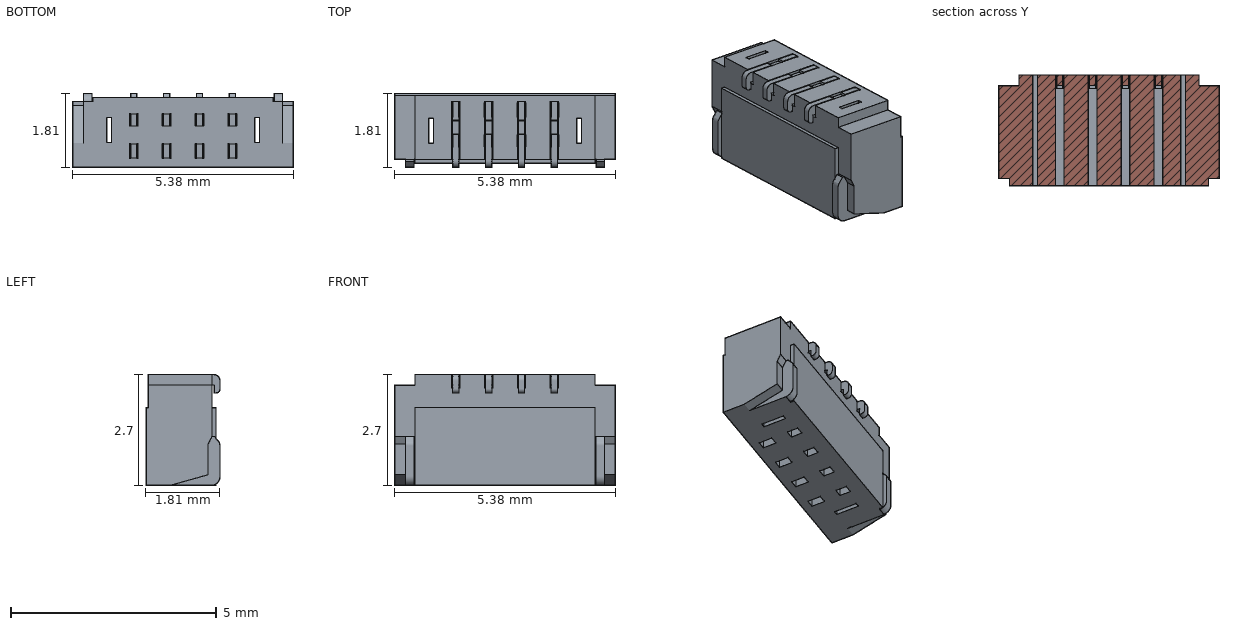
import cadquery as cq


length = 5.38
height = 2.7
body_depth = 1.56
shoulder_width = 0.495
shoulder_drop = 0.26
raised_height = 1.895
panel_thickness = 0.095
lip_thickness = 0.05
panel_length = length - 2 * shoulder_width

contact_count = 4
contact_pitch = 0.8
contact_width = 0.155
contact_reach = 0.195
contact_gap = 0.05
contact_drop = 0.45
contact_leg = 0.26
contact_bend_radius = 0.15
contact_tip_radius = 0.095
slot_width = 0.205
mouth_depth = 0.33
slot_end = 1.415
contact_end = 1.41
front_window = (0.305, 0.595)
rear_window = (1.035, 1.38)
dip_range = (0.61, 0.96)
dip_ramp = 0.015
dip_depth = 0.05

end_window_x = 1.8
end_window_width = 0.11
end_window_range = (0.4, 1.0)

relief_width = 0.265
relief_depth = 0.095
relief_top = 1.195
relief_wall_top = 1.005
relief_wall_bottom = 0.26
relief_run = 1.015
tab_width = 0.21
tab_reach = contact_reach
tab_top_reach = 0.055
tab_shoulder_reach = 0.17
tab_shoulder_height = 1.055
tab_straight_top = 0.94
tab_corner_radius = 0.21


def block(x_range, y_range, z_range):
    """Box between the given limits along each axis."""
    (x0, x1), (y0, y1), (z0, z1) = x_range, y_range, z_range
    return cq.Workplane("XY").box(x1 - x0, y1 - y0, z1 - z0, centered=False).translate((x0, y0, z0))


def centred(x, width):
    """X range of the given width around x."""
    return (x - width / 2, x + width / 2)


def side_profile(x):
    """Sketch plane across the part at x, with local axes Y and Z."""
    return cq.Workplane("YZ", origin=(x, 0, 0))


def make_housing():
    shoulder_height = height - shoulder_drop
    full_length = centred(0, length)
    raised_length = centred(0, panel_length)
    housing = block(full_length, (0, body_depth), (0, shoulder_height))
    housing = housing.union(block(raised_length, (0, body_depth), (0, height)))
    housing = housing.union(block(full_length, (0, body_depth + lip_thickness), (0, raised_height)))
    return housing.union(block(raised_length, (-panel_thickness, body_depth), (0, raised_height)))


def make_end_window(x):
    return block(centred(x, end_window_width), end_window_range, (0, height))


def make_slot(x):
    width = centred(x, slot_width)
    mouth_end = front_window[0]
    slot = block(width, (0, slot_end), (height - contact_leg, height))
    slot = slot.union(block(width, (0, mouth_end), (height - mouth_depth, height)))
    for window in (front_window, rear_window):
        slot = slot.union(block(width, window, (0, height)))
    return slot


def make_dip(x):
    front, rear = dip_range
    floor_z = height - dip_depth
    outline = [
        (front, height),
        (front + dip_ramp, floor_z),
        (rear - dip_ramp, floor_z),
        (rear, height),
    ]
    return side_profile(x - contact_width / 2).polyline(outline).close().extrude(contact_width)


def make_contact(x):
    tip_z = height - contact_drop
    outline = (
        side_profile(x - contact_width / 2)
        .moveTo(contact_end, height)
        .lineTo(contact_bend_radius - contact_reach, height)
        .radiusArc((-contact_reach, height - contact_bend_radius), -contact_bend_radius)
        .lineTo(-contact_reach, tip_z + contact_tip_radius)
        .radiusArc((contact_tip_radius - contact_reach, tip_z), -contact_tip_radius)
        .lineTo(-contact_gap, tip_z)
        .lineTo(-contact_gap, height - contact_leg)
        .lineTo(contact_end, height - contact_leg)
        .close()
    )
    return outline.extrude(contact_width).cut(make_dip(x))


def make_left_relief():
    outline = [
        (0, relief_top),
        (relief_depth, relief_wall_top),
        (relief_depth, relief_wall_bottom),
        (relief_run, 0),
        (0, 0),
    ]
    return side_profile(-length / 2).polyline(outline).close().extrude(relief_width)


def make_left_tab():
    return (
        side_profile(relief_width - length / 2)
        .moveTo(relief_depth, 0)
        .lineTo(relief_depth, relief_wall_top)
        .lineTo(0, relief_top)
        .lineTo(-tab_top_reach, relief_top)
        .lineTo(-tab_shoulder_reach, tab_shoulder_height)
        .radiusArc((-tab_reach, tab_straight_top), -tab_corner_radius)
        .lineTo(-tab_reach, tab_corner_radius)
        .radiusArc((tab_corner_radius - tab_reach, 0), -tab_corner_radius)
        .close()
        .extrude(tab_width)
    )


result = make_housing()

for end_x in (-end_window_x, end_window_x):
    result = result.cut(make_end_window(end_x))

relief = make_left_relief()
tab = make_left_tab()
result = result.cut(relief).cut(relief.mirror("YZ"))
result = result.union(tab).union(tab.mirror("YZ"))

for index in range(contact_count):
    contact_x = (index - (contact_count - 1) / 2) * contact_pitch
    result = result.cut(make_slot(contact_x)).union(make_contact(contact_x))